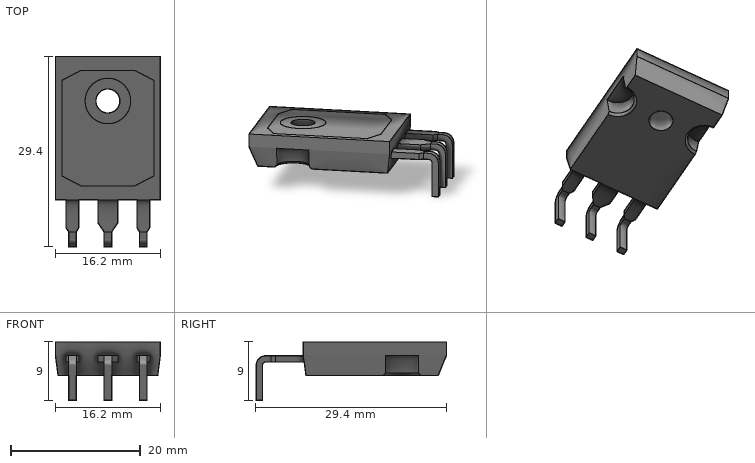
import cadquery as cq


housing_width = 16.2
housing_length = 22.1
housing_height = 5.2
slab_thickness = 2.05
side_taper = 0.4
lead_end_taper = 0.4
far_end_taper = 1.3

hole_y = 15.25
hole_diameter = 3.67
ring_diameter = 7.02

notch_radius = 2.55
notch_axis_inset = 0.45
notch_chamfer = 0.38

overall_length = 29.35
overall_height = 9.0
sheet_thickness = 1.0
lead_pitch = 5.45
lead_top_z = -2.1
lead_reach = overall_length - housing_length
lead_embed = sheet_thickness
outer_shank_width = 2.0
middle_shank_width = 3.08
outer_neck_length = 0.65
middle_neck_length = 1.38
tip_width = 1.2
tip_run = 2.32
bend_inner_radius = 0.5
bend_outer_radius = bend_inner_radius + sheet_thickness
tip_start_y = tip_run - lead_reach

pad_width = 14.2
pad_length = 17.82
pad_thickness = sheet_thickness
pad_corner_x = 2.97
pad_corner_y = 1.55

leads = [
    (-lead_pitch, outer_shank_width, outer_neck_length),
    (0, middle_shank_width, middle_neck_length),
    (lead_pitch, outer_shank_width, outer_neck_length),
]


def make_pad():
    """Octagonal plate, flush with the top face, with a clearance for the ring."""
    half_width = pad_width / 2
    near_y = (housing_length - pad_length) / 2
    far_y = near_y + pad_length
    outline = [
        (-half_width + pad_corner_x, near_y),
        (half_width - pad_corner_x, near_y),
        (half_width, near_y + pad_corner_y),
        (half_width, far_y - pad_corner_y),
        (half_width - pad_corner_x, far_y),
        (-half_width + pad_corner_x, far_y),
        (-half_width, far_y - pad_corner_y),
        (-half_width, near_y + pad_corner_y),
    ]
    plate = cq.Workplane("XY").polyline(outline).close().extrude(-pad_thickness)
    clearance = cq.Workplane("XY").center(0, hole_y).circle(ring_diameter / 2).extrude(-pad_thickness)
    return plate.cut(clearance)


def make_shank(x, shank_width, neck_length):
    """Flat lead root, set into the housing and necking down to the tip width."""
    half_root = shank_width / 2
    half_tip = tip_width / 2
    neck_y = tip_start_y + neck_length
    outline = [
        (x - half_root, lead_embed),
        (x - half_root, neck_y),
        (x - half_tip, tip_start_y),
        (x + half_tip, tip_start_y),
        (x + half_root, neck_y),
        (x + half_root, lead_embed),
    ]
    return (
        cq.Workplane("XY", origin=(0, 0, lead_top_z))
        .polyline(outline)
        .close()
        .extrude(-sheet_thickness)
    )


def make_tip(x):
    """Narrow lead end, bent a quarter turn downwards."""
    end_y = -lead_reach
    inner_y = end_y + sheet_thickness
    under_z = lead_top_z - sheet_thickness
    bend_y = end_y + bend_outer_radius
    bend_z = lead_top_z - bend_outer_radius
    return (
        cq.Workplane("YZ", origin=(x, 0, 0))
        .moveTo(tip_start_y, lead_top_z)
        .lineTo(bend_y, lead_top_z)
        .radiusArc((end_y, bend_z), -bend_outer_radius)
        .lineTo(end_y, -overall_height)
        .lineTo(inner_y, -overall_height)
        .lineTo(inner_y, bend_z)
        .radiusArc((bend_y, under_z), bend_inner_radius)
        .lineTo(tip_start_y, under_z)
        .close()
        .extrude(tip_width / 2, both=True)
    )


def make_tapered_block():
    """Lower part of the housing, drawn in on all four sides towards the bottom."""
    bottom_length = housing_length - lead_end_taper - far_end_taper
    bottom_centre_shift = (lead_end_taper - far_end_taper) / 2
    return (
        cq.Workplane("XY", origin=(0, housing_length / 2, -slab_thickness))
        .rect(housing_width, housing_length)
        .workplane(offset=slab_thickness - housing_height)
        .center(0, bottom_centre_shift)
        .rect(housing_width - 2 * side_taper, bottom_length)
        .loft(ruled=True)
    )


def make_notch_cutter(side):
    """Vertical cylinder, flared at the bottom, for the notch on one side (-1 or 1)."""
    axis_x = side * (housing_width / 2 - notch_axis_inset)
    flared_radius = notch_radius + notch_chamfer
    profile = [
        (0, -slab_thickness),
        (notch_radius, -slab_thickness),
        (notch_radius, -housing_height + notch_chamfer),
        (flared_radius, -housing_height),
        (0, -housing_height),
    ]
    return (
        cq.Workplane("XZ", origin=(axis_x, hole_y, 0))
        .polyline(profile)
        .close()
        .revolve(360, (0, 0), (0, 1))
    )


def make_housing(inserts):
    """Moulded body with the mounting hole, notches and a recess for every insert."""
    slab = (
        cq.Workplane("XY", origin=(0, housing_length / 2, 0))
        .rect(housing_width, housing_length)
        .extrude(-slab_thickness)
    )
    body = slab.union(make_tapered_block())
    for side in (-1, 1):
        body = body.cut(make_notch_cutter(side))
    hole = cq.Workplane("XY").center(0, hole_y).circle(hole_diameter / 2).extrude(-housing_height)
    body = body.cut(hole)
    for insert in inserts:
        body = body.cut(insert)
    return body


pad = make_pad()
shanks = [make_shank(x, width, neck) for x, width, neck in leads]
tips = [make_tip(x) for x, _, _ in leads]
housing = make_housing([pad, *shanks])

result = cq.Compound.makeCompound(
    [
        housing.val(),
        pad.val(),
        *[shank.val() for shank in shanks],
        *[tip.val() for tip in tips],
    ]
)